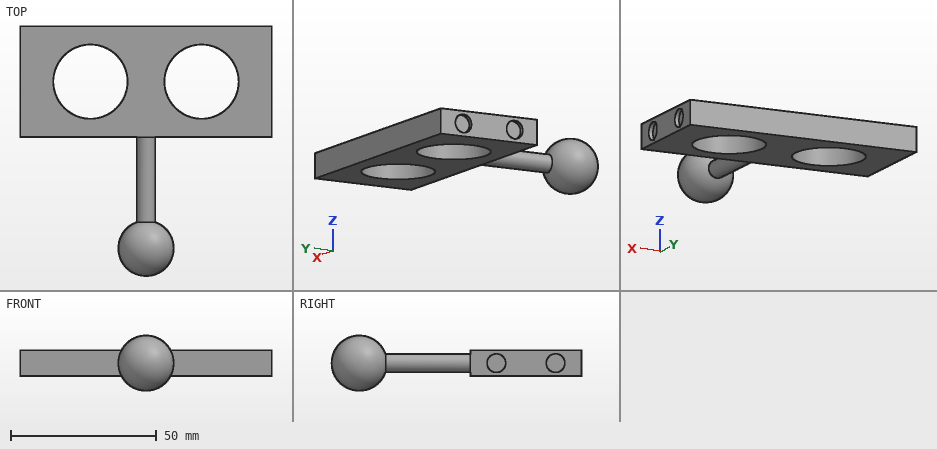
import cadquery as cq

plate_length = 86.4
plate_width = 38.1
plate_thickness = 8.9

opening_diameter = 25.4
opening_spacing = 38.1

end_pocket_diameter = 6.4
end_pocket_spacing = 20.3
end_pocket_depth = 1.55

rod_diameter = 6.4
ball_diameter = 19.1
ball_distance = 38.1

plate_edge_y = -plate_width / 2
ball_y = plate_edge_y - ball_distance


def make_plate():
    plate = cq.Workplane("XY").box(plate_length, plate_width, plate_thickness)
    openings = (
        cq.Workplane("XY", origin=(0, 0, -plate_thickness / 2))
        .rarray(opening_spacing, 0.9, 2, 1)
        .circle(opening_diameter / 2)
        .extrude(plate_thickness)
    )
    end_pockets = (
        cq.Workplane("YZ", origin=(-plate_length / 2, 0, 0))
        .rarray(end_pocket_spacing, 0.9, 2, 1)
        .circle(end_pocket_diameter / 2)
        .extrude(end_pocket_depth)
    )
    opposite_pockets = end_pockets.mirror("YZ")
    return plate.cut(openings).cut(end_pockets).cut(opposite_pockets)


def make_handle():
    rod = (
        cq.Workplane("XZ", origin=(0, plate_edge_y, 0))
        .circle(rod_diameter / 2)
        .extrude(ball_distance)
    )
    ball = cq.Workplane("XZ").sphere(ball_diameter / 2).translate((0, ball_y, 0))
    return rod.union(ball)


result = make_plate().union(make_handle())